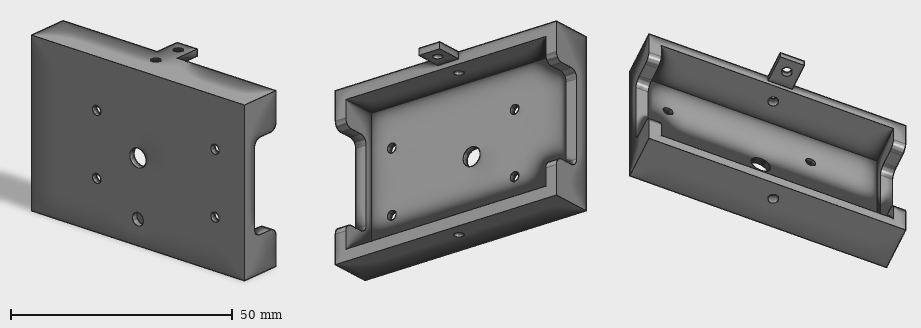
import cadquery as cq

length = 63.0
height = 43.0
depth = 11.0
web_thickness = 3.5
channel_height = 23.9
corner_radius = 2.0

wall_thickness = 3.0
pocket_floor = 1.5

total_depth = 18.0
tab_width = 5.9
tab_thickness = 1.75
tab_x = -0.7

small_diameter = 2.4
center_diameter = 4.8
lower_diameter = 3.2
lower_hole_z = -15.0
mount_hole_xs = (-12.2, 22.75)
mount_hole_z = 8.3
vertical_hole_ys = (7.05, 14.85)


def channel_body():
    """Rectangular block with a rounded channel along x in its rear face."""
    block = cq.Workplane("XY").box(length, depth, height).translate((0, depth / 2, 0))
    channel_depth = depth - web_thickness
    channel = (
        cq.Workplane("XY")
        .box(length, channel_depth, channel_height)
        .translate((0, web_thickness + channel_depth / 2, 0))
        .edges("|X and <Y")
        .fillet(corner_radius)
    )
    half_channel = channel_height / 2
    lips = cq.selectors.BoxSelector(
        (-length, depth - corner_radius / 2, -half_channel - corner_radius / 2),
        (length, depth + corner_radius / 2, half_channel + corner_radius / 2),
    )
    return block.cut(channel).edges("|X").edges(lips).fillet(corner_radius)


def rear_pocket():
    """Cutter, open at the rear, for the space inside the perimeter wall."""
    pocket_depth = depth - pocket_floor
    return (
        cq.Workplane("XY")
        .box(length - 2 * wall_thickness, pocket_depth, height - 2 * wall_thickness)
        .translate((0, pocket_floor + pocket_depth / 2, 0))
    )


def tab():
    """Flat tab flush with the top face, continuing the upper wall rearward."""
    tab_length = total_depth - web_thickness
    return (
        cq.Workplane("XY")
        .box(tab_width, tab_length, tab_thickness)
        .translate((tab_x, web_thickness + tab_length / 2, height / 2 - tab_thickness / 2))
    )


def front_hole(x, z, diameter):
    """Cutter along y through the full body depth."""
    return cq.Workplane("XZ").center(x, z).circle(diameter / 2).extrude(-depth)


def vertical_hole(y):
    """Cutter along z through the full height."""
    return (
        cq.Workplane("XY", origin=(tab_x, y, -height / 2))
        .circle(small_diameter / 2)
        .extrude(height)
    )


result = channel_body().cut(rear_pocket()).union(tab())

result = result.cut(front_hole(0, 0, center_diameter))
result = result.cut(front_hole(0, lower_hole_z, lower_diameter))
for hole_x in mount_hole_xs:
    for hole_z in (-mount_hole_z, mount_hole_z):
        result = result.cut(front_hole(hole_x, hole_z, small_diameter))

for hole_y in vertical_hole_ys:
    result = result.cut(vertical_hole(hole_y))